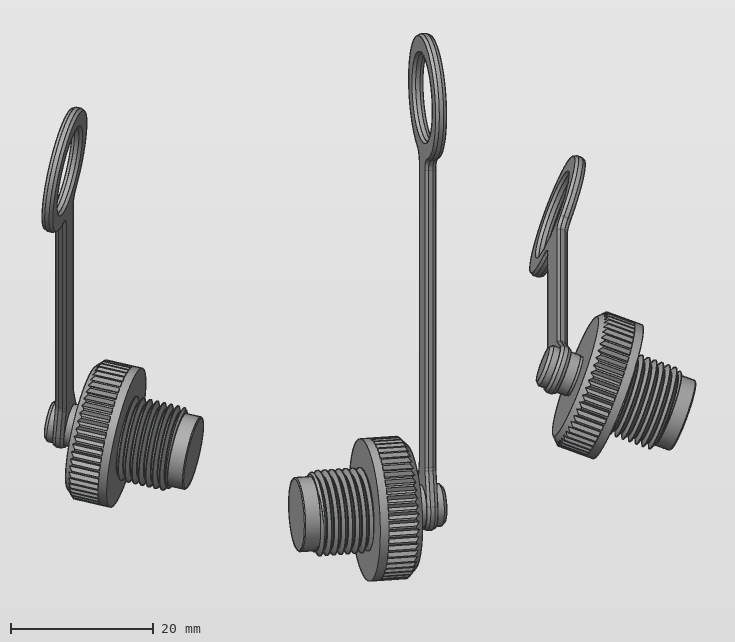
import cadquery as cq
import math


pin_radius = 6.0 / 2
pin_chamfer = 0.5
pin_base_length = 0.4
pin_base_relief = 0.1

cap_start = 4.9
cap_length = 6.3
cap_end = cap_start + cap_length
cap_radius = 20.0 / 2
cap_chamfer = 1.1
knurl_end = 9.95
knurl_count = 53
knurl_depth = 0.5

plug_radius = 10.4 / 2
plug_end = 21.0
plug_chamfer = 0.15
thread_radius = 12.0 / 2
thread_pitch = 1.0
thread_first_crest = 12.0
thread_end = 18.7
thread_end_chamfer = 0.5
thread_crest_width = 0.095
thread_root_width = 0.95

strap_start = 1.4
strap_thickness = 1.6
strap_end = strap_start + strap_thickness
strap_width = 4.0
strap_corner_radius = 2.0
edge_bevel_width = 0.2
edge_bevel_depth = 0.5
eye_radius = 3.5
eye_flare_height = 6.0
overall_height = 79
ring_radius = 8.9
ring_hole_radius = 12.5 / 2
ring_height = overall_height - cap_radius - ring_radius

overlap = 0.1


def x_cylinder(start, end, radius, height=0):
    """Cylinder along X, with its axis at the given height."""
    return cq.Workplane("YZ", origin=(start, 0, height)).circle(radius).extrude(end - start)


def make_pin():
    shank_end = cap_start - pin_base_length
    shank = x_cylinder(0, shank_end, pin_radius).faces("<X").chamfer(pin_chamfer)
    base = x_cylinder(shank_end, cap_start + overlap, pin_radius - pin_base_relief)
    return shank.union(base)


def make_cap():
    """Chamfered disc with right-angled knurl grooves that stop short of a plain rim."""
    cap = x_cylinder(cap_start, cap_end, cap_radius).faces("<X").chamfer(cap_chamfer)
    groove_root = cap_radius - knurl_depth
    groove_depth = knurl_depth + overlap
    groove = (
        cq.Workplane("YZ", origin=(cap_start, 0, 0))
        .moveTo(0, -groove_root)
        .line(groove_depth, -groove_depth)
        .line(-2 * groove_depth, 0)
        .close()
        .extrude(knurl_end - cap_start)
        .val()
    )
    grooves = []
    for index in range(knurl_count):
        angle = index * 360 / knurl_count
        grooves.append(groove.rotate(cq.Vector(0, 0, 0), cq.Vector(1, 0, 0), angle))
    return cap.cut(cq.Compound.makeCompound(grooves))


def make_plug():
    """Plain spigot with a right-handed ridge wound around it."""
    plug = x_cylinder(cap_end - overlap, plug_end, plug_radius).faces(">X").chamfer(plug_chamfer)

    helix_start = thread_first_crest - 2 * thread_pitch
    helix_length = thread_end + thread_pitch - helix_start
    helix = cq.Wire.makeHelix(thread_pitch, helix_length, plug_radius)
    ridge_root = plug_radius - overlap
    ridge = (
        cq.Workplane("XZ")
        .moveTo(ridge_root, -thread_root_width / 2)
        .lineTo(thread_radius, -thread_crest_width / 2)
        .lineTo(thread_radius, thread_crest_width / 2)
        .lineTo(ridge_root, thread_root_width / 2)
        .close()
        .sweep(cq.Workplane(helix), isFrenet=True)
        .rotate((0, 0, 0), (0, 1, 0), 90)
        .translate((helix_start, 0, 0))
    )
    envelope = x_cylinder(cap_end - overlap, thread_end, thread_radius + overlap)
    envelope = envelope.faces(">X").chamfer(thread_end_chamfer + overlap)
    return plug.union(ridge.intersect(envelope))


def make_strap():
    """Flat strap between the eye on the pin and the ring at the top."""
    half_width = strap_width / 2

    flare_angle = math.atan2(eye_flare_height, half_width)
    flare_distance = math.hypot(half_width, eye_flare_height)
    tangent_angle = flare_angle - math.acos(eye_radius / flare_distance)
    tangent_y = eye_radius * math.cos(tangent_angle)
    tangent_z = eye_radius * math.sin(tangent_angle)
    band = (
        cq.Workplane("YZ", origin=(strap_start, 0, 0))
        .moveTo(half_width, ring_height)
        .lineTo(half_width, eye_flare_height)
        .lineTo(tangent_y, tangent_z)
        .threePointArc((0, -eye_radius), (-tangent_y, tangent_z))
        .lineTo(-half_width, eye_flare_height)
        .lineTo(-half_width, ring_height)
        .close()
        .extrude(strap_thickness)
    )
    strap = band.union(x_cylinder(strap_start, strap_end, ring_radius, ring_height))

    junction_height = ring_height - math.sqrt(ring_radius**2 - half_width**2)
    for height in (eye_flare_height, junction_height):
        for side in (-half_width, half_width):
            corner = (strap_start + strap_thickness / 2, side, height)
            strap = strap.edges(cq.NearestToPointSelector(corner)).fillet(strap_corner_radius)

    strap = strap.faces("<X").chamfer(edge_bevel_width, edge_bevel_depth)
    strap = strap.faces(">X").chamfer(edge_bevel_depth, edge_bevel_width)

    hole = x_cylinder(strap_start, strap_end, ring_hole_radius, ring_height)
    rim_radius = ring_hole_radius + edge_bevel_width
    for face_x, inward in ((strap_start, 1), (strap_end, -1)):
        rim = cq.Solid.makeCone(
            rim_radius,
            ring_hole_radius,
            edge_bevel_depth,
            pnt=cq.Vector(face_x, 0, ring_height),
            dir=cq.Vector(inward, 0, 0),
        )
        hole = hole.union(cq.Workplane(rim))
    return strap.cut(hole)


result = make_pin().union(make_strap()).union(make_cap()).union(make_plug())